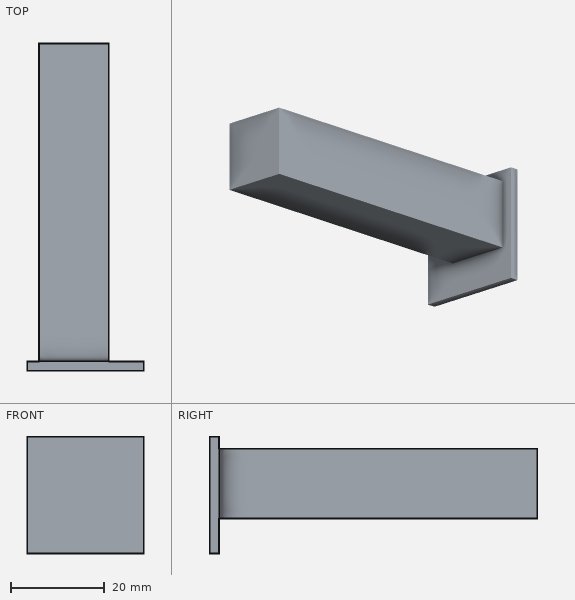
import cadquery as cq

total_length = 70.0
plate_side = 25.0
plate_thickness = 2.0
bar_side = 15.0
edge_margin = 2.5

plate = cq.Workplane("XY").box(plate_side, plate_thickness, plate_side, centered=(True, False, True))

bar_offset = (plate_side - bar_side) / 2 - edge_margin
bar = (
    cq.Workplane("XY")
    .box(bar_side, total_length, bar_side, centered=(True, False, True))
    .translate((-bar_offset, 0, bar_offset))
)

result = plate.union(bar)